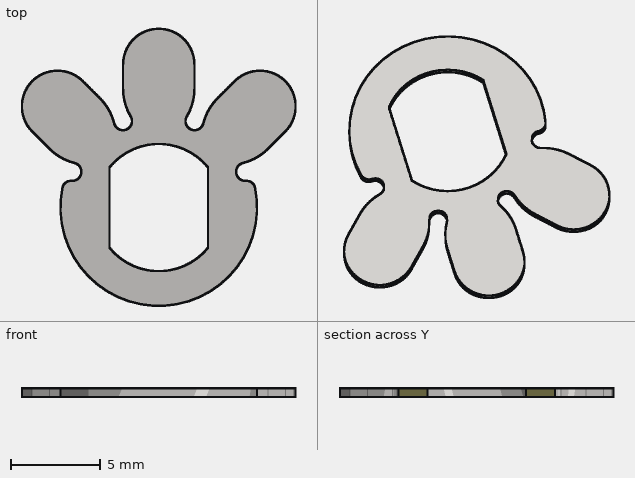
import cadquery as cq
import math

THICKNESS = 0.5
BODY_RADIUS = 5.5
HOLE_RADIUS = 3.55
HOLE_FLAT_WIDTH = 5.5
TOE_RADIUS = 2.0
TOE_TIP_CENTRE = 8.0
TOE_ANGLES = (45, 0, -45)
TOE_PITCH = 45
NOTCH_RADIUS = 0.5
NECK_RADIUS = 3.0
SHOULDER_RADIUS = 0.5

NOTCH_DISTANCE = TOE_RADIUS / math.sin(math.radians(TOE_PITCH / 2))
NOTCH_CENTRE_Y = NOTCH_DISTANCE * math.cos(math.radians(TOE_PITCH / 2))


def rotated(point, degrees):
    """Turn a point counter-clockwise about the body centre."""
    x, y = point
    cosine = math.cos(math.radians(degrees))
    sine = math.sin(math.radians(degrees))
    return (x * cosine - y * sine, x * sine + y * cosine)


def polar(radius, degrees):
    """Point at a distance from the body centre, angle counter-clockwise from +Y."""
    return rotated((0, radius), degrees)


def mirrored(point):
    """Reflect a point across the Y axis."""
    return (-point[0], point[1])


def point_between(start, end, distance):
    """Point at a distance from start on the way to end."""
    fraction = distance / math.dist(start, end)
    return (
        start[0] + fraction * (end[0] - start[0]),
        start[1] + fraction * (end[1] - start[1]),
    )


def arc_middle(centre, start, end):
    """Middle point of the short arc from start to end about a centre."""
    chord_middle = ((start[0] + end[0]) / 2, (start[1] + end[1]) / 2)
    return point_between(centre, chord_middle, math.dist(centre, start))


def neck_points():
    """Start, middle and end of the right-hand neck of a toe that points along +Y.

    The neck arc is tangent to the toe side and to the notch circle.
    """
    rise = math.sqrt((NECK_RADIUS + NOTCH_RADIUS) ** 2 - NECK_RADIUS ** 2)
    notch_centre = (TOE_RADIUS, NOTCH_CENTRE_Y)
    neck_centre = (TOE_RADIUS - NECK_RADIUS, NOTCH_CENTRE_Y + rise)
    start = (TOE_RADIUS, neck_centre[1])
    end = point_between(notch_centre, neck_centre, NOTCH_RADIUS)
    middle = arc_middle(neck_centre, start, end)
    return start, middle, end


def shoulder_points():
    """Notch end, middle and rim end of the right-hand shoulder.

    The shoulder arc is tangent to the outer notch and, from inside, to the body rim.
    """
    notch_angle = TOE_ANGLES[-1] - TOE_PITCH / 2
    centre_distance = BODY_RADIUS - SHOULDER_RADIUS
    notch_gap = NOTCH_RADIUS + SHOULDER_RADIUS
    cosine = (NOTCH_DISTANCE ** 2 + centre_distance ** 2 - notch_gap ** 2) / (
        2 * NOTCH_DISTANCE * centre_distance
    )
    centre_angle = notch_angle - math.degrees(math.acos(cosine))
    centre = polar(centre_distance, centre_angle)
    notch_end = point_between(centre, polar(NOTCH_DISTANCE, notch_angle), SHOULDER_RADIUS)
    rim_end = polar(BODY_RADIUS, centre_angle)
    middle = arc_middle(centre, notch_end, rim_end)
    return notch_end, middle, rim_end


def add_notch(outline, angle, end):
    """Arc around the bottom of the notch at the given angle."""
    return outline.threePointArc(polar(NOTCH_DISTANCE - NOTCH_RADIUS, angle), end)


def add_toe(outline, angle):
    """Left neck, left side, rounded tip, right side and right neck of one toe."""
    neck_start, neck_middle, neck_end = neck_points()
    tip_right = (TOE_RADIUS, TOE_TIP_CENTRE)
    tip_top = (0, TOE_TIP_CENTRE + TOE_RADIUS)
    return (
        outline
        .threePointArc(rotated(mirrored(neck_middle), angle), rotated(mirrored(neck_start), angle))
        .lineTo(*rotated(mirrored(tip_right), angle))
        .threePointArc(rotated(tip_top, angle), rotated(tip_right, angle))
        .lineTo(*rotated(neck_start, angle))
        .threePointArc(rotated(neck_middle, angle), rotated(neck_end, angle))
    )


def paw_plate():
    """Round body with three toes, traced clockwise from the left shoulder."""
    neck_end = neck_points()[-1]
    notch_end, shoulder_middle, rim_end = shoulder_points()
    outline = cq.Workplane("XY").moveTo(*mirrored(rim_end))
    outline = outline.threePointArc(mirrored(shoulder_middle), mirrored(notch_end))
    for angle in TOE_ANGLES:
        toe_start = rotated(mirrored(neck_end), angle)
        outline = add_notch(outline, angle + TOE_PITCH / 2, toe_start)
        outline = add_toe(outline, angle)
    outline = add_notch(outline, TOE_ANGLES[-1] - TOE_PITCH / 2, notch_end)
    outline = outline.threePointArc(shoulder_middle, rim_end)
    outline = outline.threePointArc((0, -BODY_RADIUS), mirrored(rim_end))
    return outline.close().extrude(THICKNESS)


def double_flat_hole():
    """Round through hole limited by two flats parallel to Y."""
    bore = cq.Workplane("XY").circle(HOLE_RADIUS).extrude(THICKNESS)
    flats = cq.Workplane("XY").rect(HOLE_FLAT_WIDTH, 2 * HOLE_RADIUS).extrude(THICKNESS)
    return bore.intersect(flats)


result = paw_plate().cut(double_flat_hole())